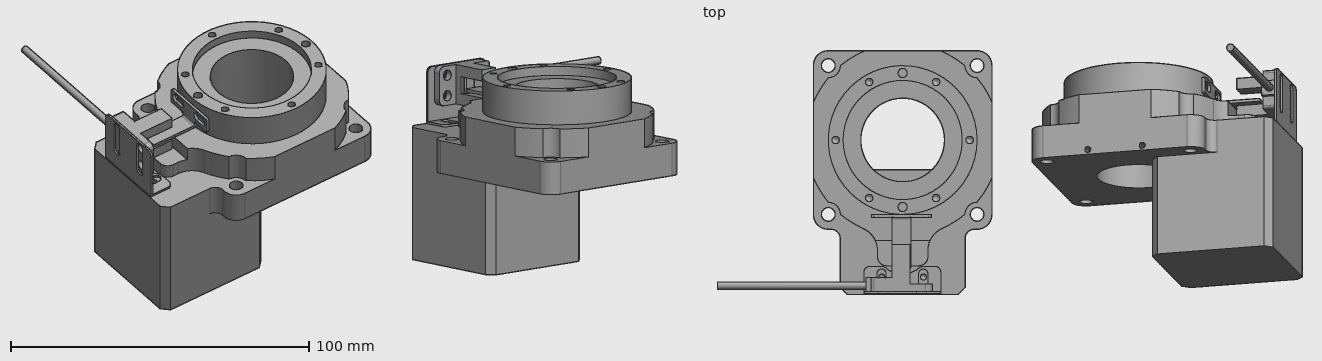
import cadquery as cq
import math


OVERALL_LENGTH = 92.1
OVERALL_DEPTH = 81.9

PLATE_SIDE = 60.0
PLATE_HEIGHT = 11.15
PLATE_CORNER_R = 5.0
MOUNT_HOLE_OFFSET = 25.0
MOUNT_HOLE_DIA = 4.5

MOTOR_SIDE = 42.0
MOTOR_FRONT = PLATE_SIDE / 2 - OVERALL_DEPTH
MOTOR_LENGTH = 34.0
MOTOR_CHAMFER = 2.5
NECK_FILLET_R = 3.0

BOSS_HEIGHT = 9.9
BOSS_R = 32.5
BOSS_NOTCH_R = 4.1
ARM_WIDTH = 16.95
ARM_FRONT = -42.2
ARM_CORNER_R = 3.0
ARM_ROOT_R = 8.0
ARM_STEP_START = -33.7
ARM_STEP_HEIGHT = 5.0

RING_DIA = 49.9
RING_HEIGHT = 11.5
RECESS_DIA = 40.0
RECESS_DEPTH = 3.0
BORE_DIA = 28.0
RING_HOLE_CIRCLE_R = 22.5
TAPPED_HOLE_DIA = 2.5
TAPPED_HOLE_COUNT = 6
PIN_HOLE_DIA = 3.0
RING_HOLE_DEPTH = 6.0

SCREW_HOLE_DIA = 2.0
SCREW_HOLE_DEPTH = 5.0
SIDE_HOLE_OFFSET = 9.5
SIDE_HOLE_Z = 1.7
FOOT_SCREW_Y = -46.0
DRILL_HALF_ANGLE = 59

PLATE_TOP = PLATE_HEIGHT
BOSS_TOP = PLATE_TOP + BOSS_HEIGHT
RING_TOP = BOSS_TOP + RING_HEIGHT
PLATE_HALF = PLATE_SIDE / 2
MOTOR_HALF = MOTOR_SIDE / 2

FLAG_X = -0.4
FLAG_BACK = -RING_DIA / 2
FLAG_THICKNESS = 1.0
FLAG_WIDTH = 20.1
FLAG_BOTTOM = PLATE_TOP + 10.8
FLAG_TOP = PLATE_TOP + 18.8
EAR_BOTTOM = PLATE_TOP + 13.2
BLADE_WIDTH = 6.45
BLADE_FRONT = -43.0
FLAG_CORNER_R = 0.55
FLAG_BEND_R = 0.55
FLAG_SLOT_LENGTH = 6.2
FLAG_SLOT_WIDTH = 3.0
FLAG_SLOT_OFFSET = 6.0
FLAG_SLOT_Z = PLATE_TOP + 16.3

BRACKET_X = -0.1
BRACKET_WIDTH = 25.8
BRACKET_THICKNESS = 0.7
BRACKET_FRONT = -51.5
BRACKET_BACK = -42.4
BRACKET_HEIGHT = 19.35
BRACKET_CORNER_R = 2.0
FOOT_SLOT_OFFSET = 7.0
FOOT_SLOT_WIDTH = 3.0
FOOT_SLOT_BACK = -43.3
FOOT_SLOT_LENGTH = 6.8
CLEARANCE_R = 8.75
CLEARANCE_Y = -36.2
WALL_SLOT_OFFSET = 6.45
WALL_SLOT_WIDTH = 3.3
WALL_SLOT_LENGTH = 13.4
WALL_SLOT_Z = PLATE_TOP + 12.1

SENSOR_X = -0.4
SENSOR_Z = PLATE_TOP + 12.6
SENSOR_HEIGHT = 13.45
SENSOR_FACE = BRACKET_FRONT + BRACKET_THICKNESS
FORK_WIDTH = 6.2
FORK_BACK = -35.1
FORK_X = -0.55
FORK_GAP = 5.8
FORK_GAP_FRONT = -45.7
RIDGE_BACK = -44.5
RIDGE_WIDTH = 4.2
RIDGE_CHAMFER = 0.4
FLANGE_WIDTH = 20.6
LEFT_FLANGE_THICKNESS = 4.6
LEFT_FLANGE_R = 1.0
RIGHT_FLANGE_THICKNESS = 2.5
RIGHT_FLANGE_R = 2.2
SENSOR_HOLE_X = 6.3
SENSOR_HOLE_OFFSET = 3.5
SENSOR_HOLE_DIA = 3.4
CONNECTOR_LENGTH = 1.7
CONNECTOR_HEIGHT = 5.0
CABLE_DIA = 2.6
CABLE_Y = -48.9
CABLE_END = PLATE_HALF - OVERALL_LENGTH


def box(x_min, x_max, y_min, y_max, z_min, z_max):
    """Axis-aligned block between the given limits."""
    size = (x_max - x_min, y_max - y_min, z_max - z_min)
    return cq.Workplane("XY").box(*size, centered=False).translate((x_min, y_min, z_min))


def drilled_hole(dia, depth):
    """Tool for a blind hole drilled down from the origin, with a conical drill point."""
    radius = dia / 2
    point = radius / math.tan(math.radians(DRILL_HALF_ANGLE))
    profile = [(0, 0), (radius, 0), (radius, -depth), (0, -depth - point)]
    return cq.Workplane("XZ").polyline(profile).close().revolve(360, (0, 0), (0, 1))


def make_plate_and_motor():
    """Square plate and the motor block, which rises to the top of the plate."""
    plate = box(-PLATE_HALF, PLATE_HALF, -PLATE_HALF, PLATE_HALF, 0, PLATE_TOP)
    plate = plate.edges("|Z").fillet(PLATE_CORNER_R)
    motor_back = MOTOR_FRONT + MOTOR_SIDE
    motor = box(-MOTOR_HALF, MOTOR_HALF, MOTOR_FRONT, motor_back, -MOTOR_LENGTH, PLATE_TOP)
    motor = motor.edges("|Z").chamfer(MOTOR_CHAMFER)
    body = plate.union(motor)
    for side in (-1, 1):
        x = side * MOTOR_HALF
        corner = cq.selectors.NearestToPointSelector((x, -PLATE_HALF, PLATE_TOP / 2))
        body = body.edges("|Z").edges(corner).fillet(NECK_FILLET_R)
    return body


def make_arm(height):
    """Arm that flares out tangentially from the boss circle and ends in rounded corners."""
    half = ARM_WIDTH / 2
    root_x = half + ARM_ROOT_R
    centre_distance = BOSS_R + ARM_ROOT_R
    root_y = -math.sqrt(centre_distance**2 - root_x**2)
    tangent_x = root_x * BOSS_R / centre_distance
    tangent_y = root_y * BOSS_R / centre_distance
    middle_angle = (math.pi + math.atan2(-root_y, -root_x)) / 2
    middle_x = root_x + ARM_ROOT_R * math.cos(middle_angle)
    middle_y = root_y + ARM_ROOT_R * math.sin(middle_angle)
    arm = (
        cq.Workplane("XY", origin=(0, 0, PLATE_TOP))
        .moveTo(tangent_x, tangent_y)
        .threePointArc((middle_x, middle_y), (half, root_y))
        .lineTo(half, ARM_FRONT)
        .lineTo(-half, ARM_FRONT)
        .lineTo(-half, root_y)
        .threePointArc((-middle_x, middle_y), (-tangent_x, tangent_y))
        .lineTo(0, 0)
        .close()
        .extrude(height)
    )
    return arm.edges("|Z and <Y").fillet(ARM_CORNER_R)


def make_boss():
    """Round boss trimmed to the plate, notched round the mounting holes, with its stepped arm."""
    boss = cq.Workplane("XY", origin=(0, 0, PLATE_TOP)).circle(BOSS_R).extrude(BOSS_HEIGHT)
    boss = boss.union(make_arm(BOSS_HEIGHT))
    boss = boss.intersect(
        box(-PLATE_HALF, PLATE_HALF, MOTOR_FRONT, PLATE_HALF, PLATE_TOP, BOSS_TOP)
    )
    notches = (
        cq.Workplane("XY", origin=(0, 0, PLATE_TOP))
        .rect(2 * MOUNT_HOLE_OFFSET, 2 * MOUNT_HOLE_OFFSET, forConstruction=True)
        .vertices()
        .circle(BOSS_NOTCH_R)
        .extrude(BOSS_HEIGHT)
    )
    step_top = PLATE_TOP + ARM_STEP_HEIGHT
    step = box(-ARM_WIDTH, ARM_WIDTH, MOTOR_FRONT, ARM_STEP_START, step_top, BOSS_TOP)
    return boss.cut(notches).cut(step)


def make_ring():
    """Turntable ring with its recess and its circle of tapped holes and pin holes."""
    ring = cq.Workplane("XY", origin=(0, 0, BOSS_TOP)).circle(RING_DIA / 2).extrude(RING_HEIGHT)
    ring = ring.faces(">Z").workplane().hole(RECESS_DIA, RECESS_DEPTH)
    for index in range(TAPPED_HOLE_COUNT):
        angle = index * 360 / TAPPED_HOLE_COUNT
        tapped = drilled_hole(TAPPED_HOLE_DIA, RING_HOLE_DEPTH)
        tapped = tapped.translate((RING_HOLE_CIRCLE_R, 0, RING_TOP))
        ring = ring.cut(tapped.rotate((0, 0, 0), (0, 0, 1), angle))
    pin_holes = (
        cq.Workplane("XY", origin=(0, 0, RING_TOP))
        .pushPoints([(0, RING_HOLE_CIRCLE_R), (0, -RING_HOLE_CIRCLE_R)])
        .circle(PIN_HOLE_DIA / 2)
        .extrude(-RING_HOLE_DEPTH)
    )
    return ring.cut(pin_holes)


def make_stage():
    """Plate, motor, boss and ring with the bore, mounting holes and screw holes."""
    stage = make_plate_and_motor().union(make_boss()).union(make_ring())
    bore = cq.Workplane("XY").circle(BORE_DIA / 2).extrude(RING_TOP)
    mount_holes = (
        cq.Workplane("XY")
        .rect(2 * MOUNT_HOLE_OFFSET, 2 * MOUNT_HOLE_OFFSET, forConstruction=True)
        .vertices()
        .circle(MOUNT_HOLE_DIA / 2)
        .extrude(PLATE_TOP)
    )
    stage = stage.cut(bore).cut(mount_holes)
    screw_hole = drilled_hole(SCREW_HOLE_DIA, SCREW_HOLE_DEPTH)
    side_hole = screw_hole.rotate((0, 0, 0), (0, 1, 0), -90)
    for side in (-1, 1):
        stage = stage.cut(side_hole.translate((-PLATE_HALF, side * SIDE_HOLE_OFFSET, SIDE_HOLE_Z)))
        stage = stage.cut(screw_hole.translate((side * FOOT_SLOT_OFFSET, FOOT_SCREW_Y, PLATE_TOP)))
    return stage


def make_flag():
    """Bent flag: a slotted plate against the ring and a blade that reaches into the fork."""
    half = FLAG_WIDTH / 2
    blade_half = BLADE_WIDTH / 2
    front = FLAG_BACK - FLAG_THICKNESS
    plate = box(-half, half, front, FLAG_BACK, EAR_BOTTOM, FLAG_TOP)
    plate = plate.edges("|Y").fillet(FLAG_CORNER_R)
    neck = box(-blade_half, blade_half, front, FLAG_BACK, FLAG_BOTTOM, EAR_BOTTOM + FLAG_CORNER_R)
    blade_top = FLAG_BOTTOM + FLAG_THICKNESS
    blade = box(-blade_half, blade_half, BLADE_FRONT, FLAG_BACK, FLAG_BOTTOM, blade_top)
    blade = blade.edges("|Z and <Y").fillet(FLAG_CORNER_R)
    angle = neck.union(blade)
    for y, z in ((FLAG_BACK, FLAG_BOTTOM), (front, blade_top)):
        bend = cq.selectors.NearestToPointSelector((0, y, z))
        angle = angle.edges("|X").edges(bend).fillet(FLAG_BEND_R)
    slots = (
        cq.Workplane("XZ", origin=(0, FLAG_BACK, FLAG_SLOT_Z))
        .pushPoints([(-FLAG_SLOT_OFFSET, 0), (FLAG_SLOT_OFFSET, 0)])
        .slot2D(FLAG_SLOT_LENGTH, FLAG_SLOT_WIDTH)
        .extrude(FLAG_THICKNESS)
    )
    return plate.union(angle).cut(slots).translate((FLAG_X, 0, 0))


def make_bracket():
    """Angle bracket: a foot on the motor and an upright wall that carries the sensor."""
    half = BRACKET_WIDTH / 2
    wall_top = PLATE_TOP + BRACKET_HEIGHT
    foot_top = PLATE_TOP + BRACKET_THICKNESS
    foot = box(-half, half, BRACKET_FRONT, BRACKET_BACK, PLATE_TOP, foot_top)
    foot = foot.edges("|Z and >Y").fillet(BRACKET_CORNER_R)
    clearance = (
        cq.Workplane("XY", origin=(0, CLEARANCE_Y, PLATE_TOP))
        .circle(CLEARANCE_R)
        .extrude(BRACKET_THICKNESS)
    )
    foot = foot.cut(clearance)
    mouth_half = math.sqrt(CLEARANCE_R**2 - (CLEARANCE_Y - BRACKET_BACK) ** 2)
    for side in (-1, 1):
        mouth = cq.selectors.NearestToPointSelector((side * mouth_half, BRACKET_BACK, foot_top))
        foot = foot.edges("|Z").edges(mouth).fillet(BRACKET_CORNER_R)
    foot_slots = (
        cq.Workplane("XY", origin=(0, FOOT_SLOT_BACK - FOOT_SLOT_LENGTH / 2, PLATE_TOP))
        .pushPoints([(-FOOT_SLOT_OFFSET, 0), (FOOT_SLOT_OFFSET, 0)])
        .slot2D(FOOT_SLOT_LENGTH, FOOT_SLOT_WIDTH, 90)
        .extrude(BRACKET_THICKNESS)
    )
    wall = box(-half, half, BRACKET_FRONT, SENSOR_FACE, PLATE_TOP, wall_top)
    wall = wall.edges("|Y and >Z").fillet(BRACKET_CORNER_R)
    wall_slots = (
        cq.Workplane("XZ", origin=(0, SENSOR_FACE, WALL_SLOT_Z))
        .pushPoints([(-WALL_SLOT_OFFSET, 0), (WALL_SLOT_OFFSET, 0)])
        .slot2D(WALL_SLOT_LENGTH, WALL_SLOT_WIDTH, 90)
        .extrude(BRACKET_THICKNESS)
    )
    bracket = foot.cut(foot_slots).union(wall.cut(wall_slots))
    return bracket.translate((BRACKET_X, 0, 0))


def make_fork():
    """Two sensor arms with a gap between them and a chamfered ridge on the floor of the gap."""
    bottom = SENSOR_Z - SENSOR_HEIGHT / 2
    top = SENSOR_Z + SENSOR_HEIGHT / 2
    gap_bottom = SENSOR_Z - FORK_GAP / 2
    gap_top = SENSOR_Z + FORK_GAP / 2
    half = FORK_WIDTH / 2
    ridge_half = RIDGE_WIDTH / 2
    fork = box(-half, half, SENSOR_FACE, FORK_BACK, bottom, top)
    fork = fork.cut(box(-half, half, FORK_GAP_FRONT, FORK_BACK, gap_bottom, gap_top))
    ridge = box(-ridge_half, ridge_half, FORK_GAP_FRONT, RIDGE_BACK, gap_bottom, gap_top)
    ridge = ridge.edges("|Z and >Y").chamfer(RIDGE_CHAMFER)
    return fork.union(ridge).translate((FORK_X, 0, 0))


def make_sensor():
    """Fork sensor with its two mounting flanges, cable connector and cable."""
    bottom = SENSOR_Z - SENSOR_HEIGHT / 2
    top = SENSOR_Z + SENSOR_HEIGHT / 2
    left = SENSOR_X - FLANGE_WIDTH / 2
    right = SENSOR_X + FLANGE_WIDTH / 2
    left_back = SENSOR_FACE + LEFT_FLANGE_THICKNESS
    right_back = SENSOR_FACE + RIGHT_FLANGE_THICKNESS
    left_flange = box(left, FORK_X, SENSOR_FACE, left_back, bottom, top)
    left_flange = left_flange.edges("|Y and <X").fillet(LEFT_FLANGE_R)
    right_flange = box(FORK_X, right, SENSOR_FACE, right_back, bottom, top)
    right_flange = right_flange.edges("|Y and >X").fillet(RIGHT_FLANGE_R)
    flange_holes = (
        cq.Workplane("XZ", origin=(SENSOR_HOLE_X, right_back, SENSOR_Z))
        .pushPoints([(0, -SENSOR_HOLE_OFFSET), (0, SENSOR_HOLE_OFFSET)])
        .circle(SENSOR_HOLE_DIA / 2)
        .extrude(RIGHT_FLANGE_THICKNESS)
    )
    connector_end = left - CONNECTOR_LENGTH
    connector_half = CONNECTOR_HEIGHT / 2
    connector = box(
        connector_end, left, SENSOR_FACE, left_back, SENSOR_Z - connector_half, SENSOR_Z + connector_half
    )
    cable = (
        cq.Workplane("YZ", origin=(CABLE_END, CABLE_Y, SENSOR_Z))
        .circle(CABLE_DIA / 2)
        .extrude(connector_end - CABLE_END)
    )
    sensor = make_fork().union(left_flange).union(right_flange.cut(flange_holes))
    return sensor.union(connector).union(cable)


stage = make_stage()
flag = make_flag()
bracket = make_bracket()
sensor = make_sensor()

result = cq.Compound.makeCompound([stage.val(), flag.val(), bracket.val(), sensor.val()])